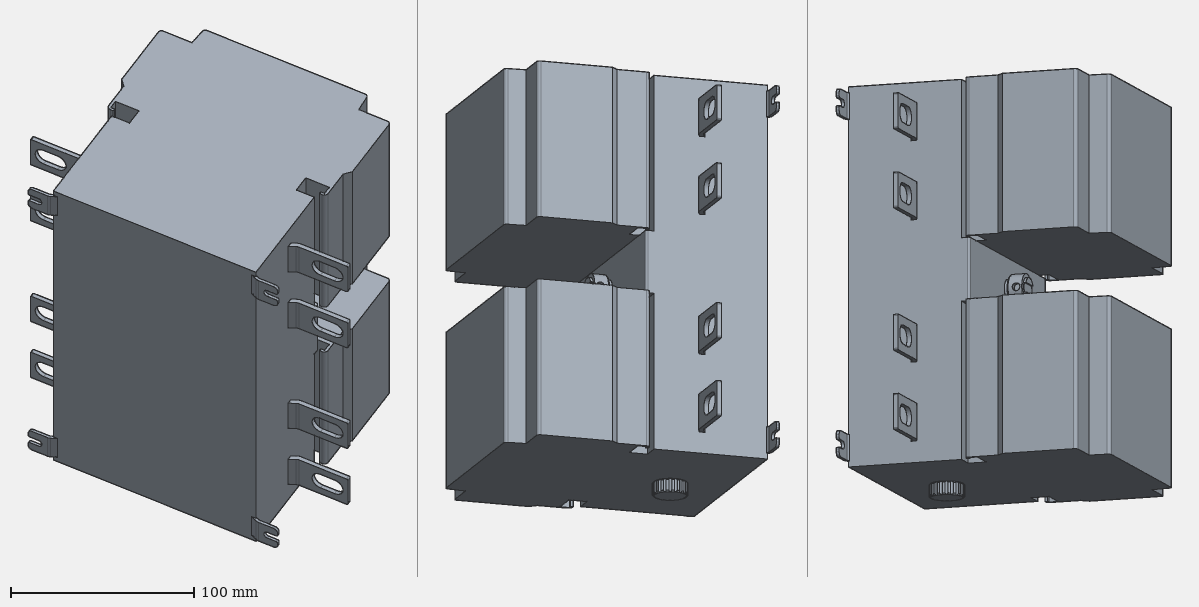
import cadquery as cq
import math

TOTAL_DEPTH = 149.1
TOTAL_HEIGHT = 219

HOUSING_HEIGHT = 211.3
HOUSING_DEPTH = 147.2
BASE_HALF_WIDTH = 63.3
CORE_DEPTH = 70.0
CORE_EDGE_ROUND = 1.3

MODULE_HEIGHT = 88.0
MODULE_HALF_WIDTH = 72.0
SKIRT_HALF_WIDTH = 68.5
REAR_HALF_WIDTH = 51.2
REAR_ROOT_HALF_WIDTH = 52.1
SHOULDER_Y = 135.1
SKIRT_TOP_Y = 88.3
SHOULDER_BEVEL_Y = 4.0
LIP_ROUND = 2.5
EDGE_ROUND = 2.0
POCKET_FLOOR_Y = 65.3
POCKET_ROOF_Y = 75.8
POCKET_HALF_WIDTH = 52.1
SKIRT_WALL = 1.8
LIP_Y = 69.0
LIP_THICKNESS = 1.5
LIP_TIP_X = 64.4

TAB_REACH = 99.2
TAB_HEIGHT = 20.0
TAB_THICKNESS = 2.6
TAB_FRONT_Y = 38.5
TAB_BEND_X = 67.9
TAB_ROOT_SHIFT = -3.0
TAB_BEND_RADIUS = 3.7
TAB_CORNER_ROUND = 0.9
TAB_SLOT_LENGTH = 19.3
TAB_SLOT_WIDTH = 10.5
TAB_SLOT_X = 86.5
TAB_PITCH = 44.0
TAB_GROUP_PITCH = 123.0
LOWEST_TAB_Z = 22.0

FOOT_REACH = 78.0
FOOT_HEIGHT = 14.7
FOOT_THICKNESS = 1.8
FOOT_FRONT_Y = HOUSING_DEPTH - TOTAL_DEPTH
FOOT_BEND_X = 65.0
FOOT_ROOT_X = 60.7
FOOT_ROOT_SHIFT = -FOOT_FRONT_Y
FOOT_BEND_RADIUS = 4.2
FOOT_END_OFFSET = 10.7
FOOT_SLOT_WIDTH = 4.4
FOOT_SLOT_END_X = 69.5
FOOT_CORNER_ROUND = 2.6
FOOT_SLOT_CORNER_ROUND = 1.0

KNOB_HEIGHT = TOTAL_HEIGHT - HOUSING_HEIGHT
KNOB_RADIUS = 9.9
KNOB_Y = 34.8
KNOB_CHAMFER = 0.9
KNOB_GROOVES = 20
KNOB_GROOVE_RADIUS = 0.77

FITTING_NECK_RADIUS = 6.0
FITTING_RADIUS = 8.5
FITTING_START_Y = 72.3
FITTING_END_Y = 81.0
FITTING_Z = 105.3
FITTING_CHAMFER = 0.9
FITTING_CAP_RADIUS = 6.4
FITTING_CAP_END_Y = 82.5
FITTING_SLOT_WIDTH = 5.3
FITTING_SLOT_DEPTH = 0.9
FITTING_HOLE_RADIUS = 2.2
FITTING_HOLE_Y = 77.7
FITTING_HOLE_DEPTH = 3.3

EMBED = 1.0


def mirrored_pair(right_half):
    return right_half.union(right_half.mirror("YZ"))


def extrude_outline(points, bottom_z, height):
    return cq.Workplane("XY").workplane(offset=bottom_z).polyline(points).close().extrude(height)


def round_edges(solid, points, radius):
    """Fillet the edge whose middle lies nearest to each point."""
    for point in points:
        solid = solid.edges(cq.selectors.NearestToPointSelector(point)).fillet(radius)
    return solid


def bent_strip(front_y, thickness, reach, height, bend_x, root_x, root_shift, bend_radius, center_z):
    """Flat strip on the right side whose inner end is bent by root_shift along Y.

    bend_radius is the radius on the front face.
    """
    back_y = front_y + thickness
    slope = root_shift / (bend_x - root_x)
    back_bend_x = bend_x + thickness * math.tan(math.atan(slope) / 2)
    points = [
        (root_x, front_y + root_shift),
        (bend_x, front_y),
        (reach, front_y),
        (reach, back_y),
        (back_bend_x, back_y),
        (root_x, back_y + slope * (back_bend_x - root_x)),
    ]
    strip = extrude_outline(points, center_z - height / 2, height)
    back_radius = bend_radius - math.copysign(thickness, root_shift)
    strip = round_edges(strip, [(bend_x, front_y, center_z)], bend_radius)
    return round_edges(strip, [(back_bend_x, back_y, center_z)], back_radius)


def module(bottom_z):
    """Rear module: stepped outline with a hooked skirt over a side pocket."""
    lip_inner_y = LIP_Y + LIP_THICKNESS
    pocket_outer_x = SKIRT_HALF_WIDTH - SKIRT_WALL
    points = [
        (0, 0),
        (BASE_HALF_WIDTH, 0),
        (BASE_HALF_WIDTH, POCKET_FLOOR_Y),
        (POCKET_HALF_WIDTH, POCKET_FLOOR_Y),
        (POCKET_HALF_WIDTH, POCKET_ROOF_Y),
        (pocket_outer_x, POCKET_ROOF_Y),
        (pocket_outer_x, lip_inner_y),
        (LIP_TIP_X, lip_inner_y),
        (LIP_TIP_X, LIP_Y),
        (SKIRT_HALF_WIDTH, LIP_Y),
        (SKIRT_HALF_WIDTH, SKIRT_TOP_Y),
        (MODULE_HALF_WIDTH, SKIRT_TOP_Y + SHOULDER_BEVEL_Y),
        (MODULE_HALF_WIDTH, SHOULDER_Y),
        (REAR_ROOT_HALF_WIDTH, SHOULDER_Y),
        (REAR_HALF_WIDTH, HOUSING_DEPTH),
        (0, HOUSING_DEPTH),
    ]
    half = extrude_outline(points, bottom_z, MODULE_HEIGHT)
    middle_z = bottom_z + MODULE_HEIGHT / 2
    rear_corners = [(MODULE_HALF_WIDTH, SHOULDER_Y, middle_z), (REAR_HALF_WIDTH, HOUSING_DEPTH, middle_z)]
    half = round_edges(half, rear_corners, EDGE_ROUND)
    half = round_edges(half, [(SKIRT_HALF_WIDTH, LIP_Y, middle_z)], LIP_ROUND)
    return mirrored_pair(half)


def core():
    """Housing section between the modules."""
    height = HOUSING_HEIGHT - 2 * MODULE_HEIGHT
    block = cq.Workplane("XY").box(2 * BASE_HALF_WIDTH, CORE_DEPTH, height, centered=(True, False, False))
    block = block.edges("|Z and >Y").fillet(CORE_EDGE_ROUND)
    return block.translate((0, 0, MODULE_HEIGHT))


def terminal_tab(center_z):
    """Slotted tab on the right side, bent forward where it enters the housing."""
    back_y = TAB_FRONT_Y + TAB_THICKNESS
    tab = bent_strip(TAB_FRONT_Y, TAB_THICKNESS, TAB_REACH, TAB_HEIGHT, TAB_BEND_X,
                     BASE_HALF_WIDTH - EMBED, TAB_ROOT_SHIFT, TAB_BEND_RADIUS, center_z)
    tab = tab.edges("|Y and >X").fillet(TAB_CORNER_ROUND)
    slot = cq.Workplane("XZ", origin=(TAB_SLOT_X, back_y, center_z))
    slot = slot.slot2D(TAB_SLOT_LENGTH, TAB_SLOT_WIDTH).extrude(TAB_THICKNESS)
    return tab.cut(slot)


def foot(center_z):
    """Forked foot on the right side, bent back into the front corner of the housing."""
    back_y = FOOT_FRONT_Y + FOOT_THICKNESS
    middle_y = FOOT_FRONT_Y + FOOT_THICKNESS / 2
    fork = bent_strip(FOOT_FRONT_Y, FOOT_THICKNESS, FOOT_REACH, FOOT_HEIGHT, FOOT_BEND_X,
                      FOOT_ROOT_X, FOOT_ROOT_SHIFT, FOOT_BEND_RADIUS, center_z)
    slot_length = 2 * (FOOT_REACH - FOOT_SLOT_END_X)
    slot = cq.Workplane("XZ", origin=(FOOT_REACH, back_y, center_z))
    fork = fork.cut(slot.slot2D(slot_length, FOOT_SLOT_WIDTH).extrude(FOOT_THICKNESS))
    for side in (-1, 1):
        outer_corner = (FOOT_REACH, middle_y, center_z + side * FOOT_HEIGHT / 2)
        slot_corner = (FOOT_REACH, middle_y, center_z + side * FOOT_SLOT_WIDTH / 2)
        fork = round_edges(fork, [outer_corner], FOOT_CORNER_ROUND)
        fork = round_edges(fork, [slot_corner], FOOT_SLOT_CORNER_ROUND)
    return fork


def knob():
    body = cq.Workplane("XY", origin=(0, KNOB_Y, -KNOB_HEIGHT)).circle(KNOB_RADIUS).extrude(KNOB_HEIGHT)
    body = body.faces("<Z or >Z").edges().chamfer(KNOB_CHAMFER)
    grooves = cq.Workplane("XY", origin=(0, KNOB_Y, -KNOB_HEIGHT))
    grooves = grooves.polarArray(KNOB_RADIUS, 0, 360, KNOB_GROOVES)
    return body.cut(grooves.circle(KNOB_GROOVE_RADIUS).extrude(KNOB_HEIGHT))


def fitting():
    """Round fitting with a slotted cap and a small hole in each side."""
    def disc(radius, start_y, end_y):
        plane = cq.Workplane("XZ", origin=(0, end_y, FITTING_Z))
        return plane.circle(radius).extrude(end_y - start_y)

    body = disc(FITTING_RADIUS, FITTING_START_Y, FITTING_END_Y).faces("<Y").edges().chamfer(FITTING_CHAMFER)
    body = body.union(disc(FITTING_NECK_RADIUS, CORE_DEPTH - EMBED, FITTING_END_Y))
    body = body.union(disc(FITTING_CAP_RADIUS, FITTING_START_Y, FITTING_CAP_END_Y))
    slot = cq.Workplane("XY").box(2 * FITTING_RADIUS, 2 * FITTING_SLOT_DEPTH, FITTING_SLOT_WIDTH)
    body = body.cut(slot.translate((0, FITTING_CAP_END_Y, FITTING_Z)))
    hole = cq.Workplane("YZ", origin=(FITTING_RADIUS - FITTING_HOLE_DEPTH, FITTING_HOLE_Y, FITTING_Z))
    hole = hole.circle(FITTING_HOLE_RADIUS).extrude(FITTING_HOLE_DEPTH)
    return body.cut(mirrored_pair(hole))


result = core()
for module_z in (0, HOUSING_HEIGHT - MODULE_HEIGHT):
    result = result.union(module(module_z))

for group in range(2):
    for position in range(2):
        tab_z = LOWEST_TAB_Z + group * TAB_GROUP_PITCH + position * TAB_PITCH
        result = result.union(mirrored_pair(terminal_tab(tab_z)))

for foot_z in (FOOT_END_OFFSET, HOUSING_HEIGHT - FOOT_END_OFFSET):
    result = result.union(mirrored_pair(foot(foot_z)))

result = result.union(knob()).union(fitting())